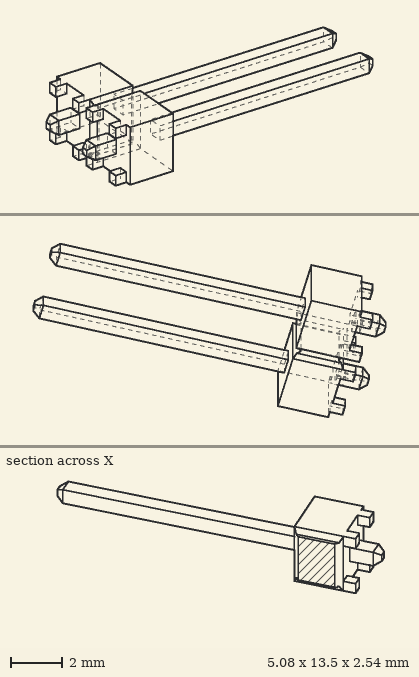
import cadquery as cq

pitch = 2.54
pin_count = 2
body_length = pitch * pin_count
body_depth = 2.032
body_height = 2.54

groove_half_width = 0.254
groove_depth = 0.254
groove_floor_half_width = groove_half_width / 2

foot_width = 0.43
foot_height = 0.45
foot_length = 0.508
foot_outer_offset = pitch / 2 - groove_half_width

pin_size = 0.635
pin_front_length = 1.27
pin_back_length = 10.16
tip_size = 0.28
tip_length = 0.295

pin_positions = [(i - (pin_count - 1) / 2) * pitch for i in range(pin_count)]
groove_positions = [(i - pin_count / 2) * pitch for i in range(1, pin_count)]


def box_between(x_range, y_range, z_range):
    """Box spanning the given (low, high) range on each axis."""
    (x0, x1), (y0, y1), (z0, z1) = x_range, y_range, z_range
    return cq.Workplane("XY").box(x1 - x0, y1 - y0, z1 - z0, centered=False).translate((x0, y0, z0))


def make_body():
    """Plain rectangular body before the grooves are cut."""
    half_length = body_length / 2
    half_height = body_height / 2
    return box_between((-half_length, half_length), (0, body_depth), (-half_height, half_height))


def make_break_groove(x):
    """Cutters for one break groove: V notches front and back, flat-bottomed notches above and below."""
    v_notch = (
        cq.Workplane("XY", origin=(x, 0, -body_height / 2))
        .polyline([(-groove_half_width, 0), (groove_half_width, 0), (0, groove_depth)])
        .close()
        .extrude(body_height)
    )
    flat_notch = (
        cq.Workplane("XZ", origin=(x, body_depth, body_height / 2))
        .polyline([
            (-groove_half_width, 0),
            (groove_half_width, 0),
            (groove_floor_half_width, -groove_depth),
            (-groove_floor_half_width, -groove_depth),
        ])
        .close()
        .extrude(body_depth)
    )
    mid_depth = (0, body_depth / 2, 0)
    return (
        v_notch.union(v_notch.mirror("XZ", mid_depth))
        .union(flat_notch)
        .union(flat_notch.mirror("XY"))
    )


def make_feet(x):
    """Four rectangular feet on the front face of the cell centred at x."""
    foot_x = foot_outer_offset - foot_width / 2
    foot_z = body_height / 2 - foot_height / 2
    corners = [(side * foot_x, level * foot_z) for side in (-1, 1) for level in (-1, 1)]
    return (
        cq.Workplane("XZ", origin=(x, 0, 0))
        .pushPoints(corners)
        .rect(foot_width, foot_height)
        .extrude(foot_length)
    )


def make_tip(x, y_base, y_end):
    """Tapered pin end, narrowing from y_base to y_end."""
    direction = 1 if y_end > y_base else -1
    base = cq.Plane(origin=(x, y_base, 0), xDir=(1, 0, 0), normal=(0, direction, 0))
    return (
        cq.Workplane(base)
        .rect(pin_size, pin_size)
        .workplane(offset=tip_length)
        .rect(tip_size, tip_size)
        .loft(ruled=True)
    )


def make_pin(x):
    """Square pin passing through the body, tapered at both ends."""
    front_end = -pin_front_length
    back_end = body_depth + pin_back_length
    front_shoulder = front_end + tip_length
    back_shoulder = back_end - tip_length
    half_size = pin_size / 2
    shank = box_between(
        (x - half_size, x + half_size), (front_shoulder, back_shoulder), (-half_size, half_size)
    )
    front_tip = make_tip(x, front_shoulder, front_end)
    back_tip = make_tip(x, back_shoulder, back_end)
    return shank.union(front_tip).union(back_tip)


result = make_body()
for groove_x in groove_positions:
    result = result.cut(make_break_groove(groove_x))
for pin_x in pin_positions:
    result = result.union(make_feet(pin_x)).union(make_pin(pin_x))